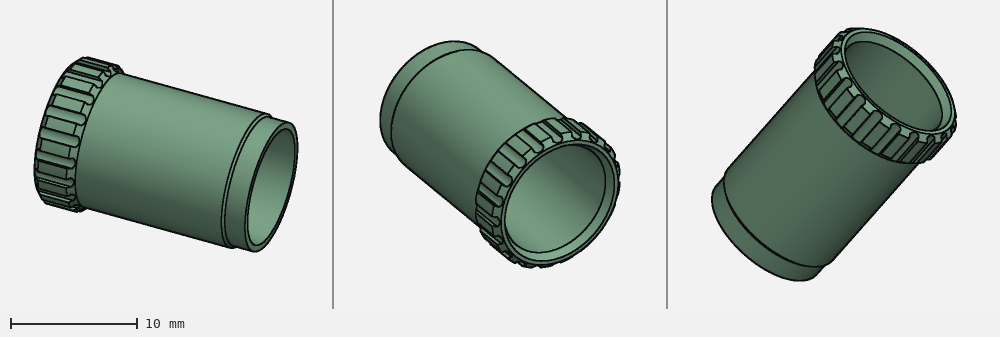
import cadquery as cq

length = 18.0
bore_radius = 9.5 / 2
body_radius = 11.0 / 2
spigot_radius = 10.58 / 2
spigot_length = 1.73

collar_radius = 6.01
collar_length = 3.51
front_bevel_length = collar_radius - body_radius
back_bevel_length = 0.55

mouth_radius = 5.15
mouth_depth = 0.68

groove_count = 20
groove_width = 0.88
groove_floor_radius = 5.56
groove_wall_radius = 5.7
groove_top_radius = collar_radius + 0.18


def make_sleeve():
    """Revolve the half section about the X axis."""
    spigot_start = length - spigot_length
    shoulder_bevel = body_radius - spigot_radius
    half_section = [
        (0, mouth_radius),
        (0, body_radius),
        (front_bevel_length, collar_radius),
        (collar_length - back_bevel_length, collar_radius),
        (collar_length, body_radius),
        (spigot_start - shoulder_bevel, body_radius),
        (spigot_start, spigot_radius),
        (length, spigot_radius),
        (length, bore_radius),
        (mouth_depth, bore_radius),
    ]
    profile = cq.Workplane("XY").polyline(half_section).close()
    return profile.revolve(360, (0, 0, 0), (1, 0, 0))


def make_grooves():
    """Cutters parallel to X with straight walls and an arched floor, spaced evenly around the collar."""
    half_width = groove_width / 2
    cutter = (
        cq.Workplane("YZ")
        .moveTo(-half_width, groove_top_radius)
        .lineTo(-half_width, groove_wall_radius)
        .threePointArc((0, groove_floor_radius), (half_width, groove_wall_radius))
        .lineTo(half_width, groove_top_radius)
        .close()
        .extrude(collar_length)
    )
    grooves = cq.Workplane("YZ")
    for index in range(groove_count):
        angle = index * 360 / groove_count
        grooves = grooves.add(cutter.rotate((0, 0, 0), (1, 0, 0), angle))
    return grooves.combine()


result = make_sleeve().cut(make_grooves())